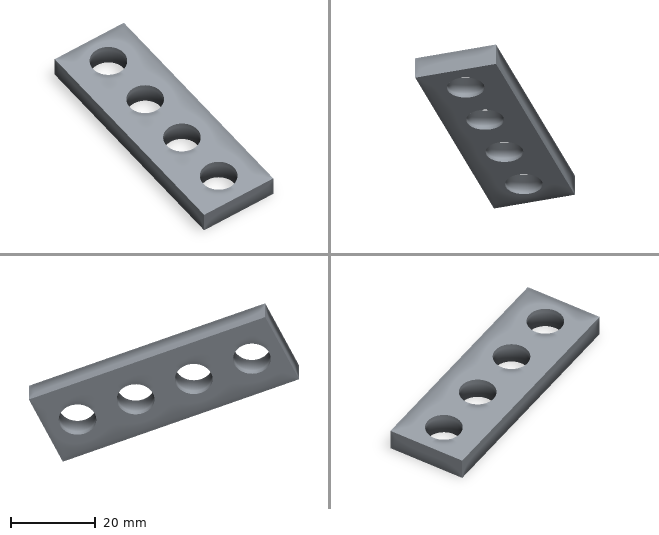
import cadquery as cq

length = 60.95
width = 20.05
thickness = 5.4

hole_count = 4
hole_diameter = 8.9
hole_pitch = 15.0
first_hole_from_end = 7.8

plate = cq.Workplane("XY").box(length, width, thickness)

first_hole_x = -length / 2 + first_hole_from_end
hole_centers = [(first_hole_x + i * hole_pitch, 0) for i in range(hole_count)]

result = plate.faces(">Z").workplane().pushPoints(hole_centers).hole(hole_diameter)